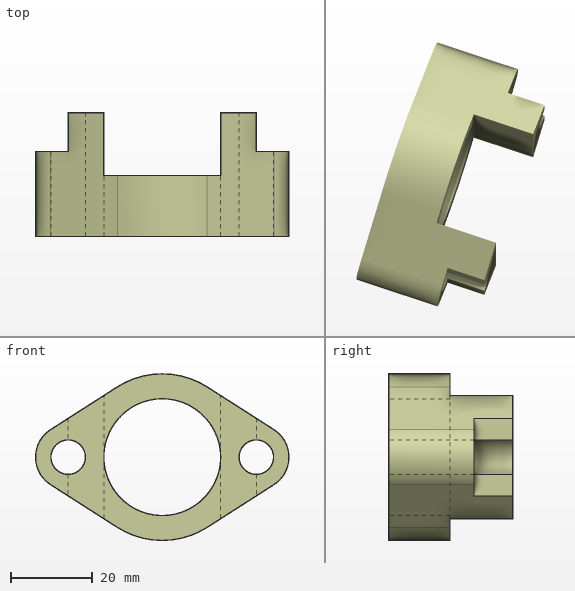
import cadquery as cq
import math

length = 62.0
depth = 30.3
body_radius = 20.4
bore_radius = 14.25
bolt_offset = 23.0
bolt_hole_diameter = 8.4
slot_floor = 15.0
ear_depth = 20.85

ear_radius = length / 2 - bolt_offset
tangent_sine = (body_radius - ear_radius) / bolt_offset
tangent_cosine = math.sqrt(1 - tangent_sine**2)
body_tangent_x = body_radius * tangent_sine
body_tangent_z = body_radius * tangent_cosine
ear_tangent_x = bolt_offset + ear_radius * tangent_sine
ear_tangent_z = ear_radius * tangent_cosine


def extruded_outline():
    """Central disc and two ears joined by tangent lines, flange face at Y = 0."""
    return (
        cq.Workplane("XZ")
        .moveTo(-body_tangent_x, body_tangent_z)
        .threePointArc((0, body_radius), (body_tangent_x, body_tangent_z))
        .lineTo(ear_tangent_x, ear_tangent_z)
        .threePointArc((length / 2, 0), (ear_tangent_x, -ear_tangent_z))
        .lineTo(body_tangent_x, -body_tangent_z)
        .threePointArc((0, -body_radius), (-body_tangent_x, -body_tangent_z))
        .lineTo(-ear_tangent_x, -ear_tangent_z)
        .threePointArc((-length / 2, 0), (-ear_tangent_x, ear_tangent_z))
        .close()
        .extrude(-depth)
    )


def hole_cutter(x, radius):
    """Cylinder along Y through the full depth."""
    return cq.Workplane("XZ").center(x, 0).circle(radius).extrude(-depth)


def back_cutter(x_min, x_max, y_start):
    """Full-height block removing everything behind y_start between two X limits."""
    return cq.Workplane("XY").box(
        x_max - x_min, depth - y_start, 2 * body_radius, centered=(False, False, True)
    ).translate((x_min, y_start, 0))


result = extruded_outline()

result = result.cut(hole_cutter(0, bore_radius))
result = result.cut(back_cutter(-bore_radius, bore_radius, slot_floor))

result = result.cut(back_cutter(bolt_offset, length / 2, ear_depth))
result = result.cut(back_cutter(-length / 2, -bolt_offset, ear_depth))
for bolt_x in (-bolt_offset, bolt_offset):
    result = result.cut(hole_cutter(bolt_x, bolt_hole_diameter / 2))